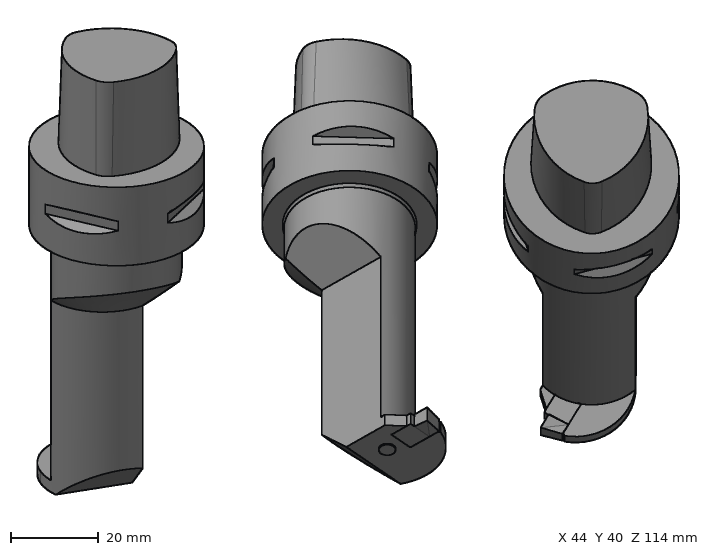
import cadquery as cq
import math


shank_height = 23.9
base_lobe_reach = 14.9
base_side_reach = 13.0
shank_taper = 0.8
lobe_radius = 5.1

flange_radius = 40.0 / 2
flange_height = 20.3
slot_center_z = -10.0
slot_floor_height = 2.4
slot_mouth_height = 5.2
slot_depth = 2.3
slot_count = 4

neck_radius = 30.0 / 2
collar_height = 0.9
collar_overhang = 0.3
neck_end_z = -30.0
bar_shift = 10.0
bar_start_z = neck_end_z - bar_shift
bar_flat_y = neck_radius - bar_shift

shank_to_tip = 114.0
lip_height = 0.4
plate_thickness = 3.1
plate_bottom_z = shank_height - shank_to_tip + lip_height
plate_top_z = plate_bottom_z + plate_thickness
plate_arc_radius = 13.7
plate_nose_x = -18.9
end_chamfer = 8.4

tip_x = -(44.0 - flange_radius)
tip_y = 0.1
head_back_x = -20.1
head_heel_x = -23.0
blade_end_x = -14.1
insert_front_y = -5.0
insert_back_y = 1.4

screw_radius = 1.9
screw_x = -9.9
screw_y = -1.8
screw_proud = 0.3
screw_length = 4.6


def box_between(low, high):
    """Box given by two opposite corners."""
    size = [b - a for a, b in zip(low, high)]
    return cq.Workplane("XY").box(*size, centered=False).translate(low)


def cylinder(radius, top_z, bottom_z):
    return cq.Workplane("XY").workplane(offset=bottom_z).circle(radius).extrude(top_z - bottom_z)


def polar(distance, degrees):
    angle = math.radians(degrees)
    return (distance * math.cos(angle), distance * math.sin(angle))


def lobe_outline(workplane, lobe_reach, side_reach):
    """Rounded triangle of tangent arcs with one lobe pointing along +Y."""
    lobe_center = lobe_reach - lobe_radius
    inset = side_reach - lobe_radius
    side_center = (lobe_center**2 - inset**2) / (2 * inset - lobe_center)
    scale = lobe_radius / (inset + side_center)
    along = lobe_center + (lobe_center + side_center / 2) * scale
    across = side_center * math.sin(math.radians(60)) * scale
    tangent_reach = math.hypot(along, across)
    half_angle = math.degrees(math.atan2(across, along))
    outline = workplane.moveTo(*polar(tangent_reach, 90 - half_angle))
    for lobe in (90, 210, 330):
        outline = outline.threePointArc(polar(lobe_reach, lobe), polar(tangent_reach, lobe + half_angle))
        next_lobe_start = polar(tangent_reach, lobe + 120 - half_angle)
        outline = outline.threePointArc(polar(side_reach, lobe + 60), next_lobe_start)
    return outline.close()


def taper_shank():
    base = lobe_outline(cq.Workplane("XY"), base_lobe_reach, base_side_reach)
    raised = base.workplane(offset=shank_height)
    top = lobe_outline(raised, base_lobe_reach - shank_taper, base_side_reach - shank_taper)
    return top.loft(combine=True)


def gripper_slot():
    """Trapezoidal groove across the +X side of the flange."""
    floor_x = flange_radius - slot_depth
    half_floor = slot_floor_height / 2
    half_mouth = slot_mouth_height / 2
    return (
        cq.Workplane("XZ")
        .polyline([
            (floor_x, slot_center_z - half_floor),
            (flange_radius, slot_center_z - half_mouth),
            (flange_radius, slot_center_z + half_mouth),
            (floor_x, slot_center_z + half_floor),
        ]).close()
        .extrude(flange_radius, both=True)
    )


def flange():
    body = cylinder(flange_radius, 0, -flange_height)
    spacing = 360 / slot_count
    for i in range(slot_count):
        body = body.cut(gripper_slot().rotate((0, 0, 0), (0, 0, 1), spacing * (i + 0.5)))
    return body


def collar():
    """Short cone that blends the neck into the flange."""
    return (
        cq.Workplane("XY").workplane(offset=-flange_height)
        .circle(neck_radius + collar_overhang)
        .workplane(offset=-collar_height).circle(neck_radius)
        .loft(combine=True)
    )


def slanted_relief():
    """Cone at 45 degrees on the bar axis that narrows the neck to the bar."""
    return (
        cq.Workplane("XY").workplane(offset=bar_start_z)
        .center(-bar_shift, 0).circle(neck_radius)
        .workplane(offset=bar_shift).circle(neck_radius + bar_shift)
        .loft(combine=True)
    )


def flat_cutter():
    """Removes the +Y side of the bar down to a flat, with a 45 degree run-out."""
    return (
        cq.Workplane("YZ")
        .polyline([
            (neck_radius, neck_end_z),
            (bar_flat_y, bar_start_z),
            (bar_flat_y, plate_bottom_z),
            (neck_radius, plate_bottom_z),
        ]).close()
        .extrude(neck_radius, both=True)
    )


def neck_and_bar():
    neck = cylinder(neck_radius, -flange_height, neck_end_z)
    relief = cylinder(neck_radius, neck_end_z, bar_start_z).intersect(slanted_relief())
    shifted = cylinder(neck_radius, bar_start_z, plate_bottom_z).translate((-bar_shift, 0, 0))
    bar = cylinder(neck_radius, bar_start_z, plate_bottom_z).intersect(shifted)
    return neck.union(relief).union(bar).cut(flat_cutter())


def plate():
    """Crescent foot: outer arc on -X, bar outline on +X, oblique relief at the nose."""
    arc_center_y = plate_arc_radius - neck_radius
    diagonal = math.sqrt(0.5)
    arc_mid = (-bar_shift - plate_arc_radius * diagonal, arc_center_y - plate_arc_radius * diagonal)
    heel_y = arc_center_y - math.sqrt(plate_arc_radius**2 - (head_heel_x + bar_shift) ** 2)
    flat_end_x = math.sqrt(neck_radius**2 - bar_flat_y**2) - bar_shift
    return (
        cq.Workplane("XY").workplane(offset=plate_bottom_z)
        .moveTo(-bar_shift, -neck_radius)
        .threePointArc(arc_mid, (head_heel_x, heel_y))
        .lineTo(plate_nose_x, insert_back_y)
        .lineTo(plate_nose_x + bar_flat_y - insert_back_y, bar_flat_y)
        .lineTo(flat_end_x, bar_flat_y)
        .threePointArc(
            (-bar_shift + neck_radius * diagonal, -neck_radius * diagonal),
            (-bar_shift, -neck_radius),
        )
        .close().extrude(plate_thickness)
    )


def end_chamfer_cutter():
    """Removes the +X lower corner of the bar at 45 degrees."""
    bar_right_x = neck_radius - bar_shift
    return (
        cq.Workplane("XZ")
        .polyline([
            (bar_right_x, plate_bottom_z + end_chamfer),
            (bar_right_x, plate_bottom_z),
            (bar_right_x - end_chamfer, plate_bottom_z),
        ]).close()
        .extrude(neck_radius, both=True)
    )


def triangle_prism(corners, bottom, top):
    """Vertical three-sided solid with its own end height at each corner."""
    low = [cq.Vector(x, y, z) for (x, y), z in zip(corners, bottom)]
    high = [cq.Vector(x, y, z) for (x, y), z in zip(corners, top)]
    loops = [low, high]
    for i in range(3):
        j = (i + 1) % 3
        side = [low[i], low[j], high[j], high[i]]
        loops.append(side)
    faces = [cq.Face.makeFromWires(cq.Wire.makePolygon(loop, close=True)) for loop in loops]
    return cq.Workplane(cq.Solid.makeSolid(cq.Shell.makeShell(faces)))


def insert_head():
    """Cutting head whose two rake facets fall to the inner front corner."""
    tip = (tip_x, tip_y)
    heel = (head_heel_x, insert_front_y)
    inner = (head_back_x, insert_front_y)
    back = (head_back_x, tip_y)
    proud_top = plate_top_z + lip_height
    proud_bottom = plate_bottom_z - lip_height
    bottom = [proud_bottom, plate_bottom_z, plate_bottom_z]
    top = [proud_top, proud_top, plate_top_z]
    outer_half = triangle_prism([tip, heel, inner], bottom, top)
    inner_half = triangle_prism([tip, back, inner], bottom, top)
    return outer_half.union(inner_half)


def make_insert():
    blade = box_between(
        (head_back_x, insert_front_y, plate_bottom_z),
        (blade_end_x, insert_back_y, plate_top_z),
    )
    return insert_head().union(blade)


def insert_pocket():
    """Open-ended recess that holds the insert."""
    return box_between(
        (tip_x, insert_front_y, plate_bottom_z),
        (blade_end_x, insert_back_y, plate_top_z),
    )


def make_screw():
    bottom_z = plate_bottom_z - screw_proud
    return cylinder(screw_radius, bottom_z + screw_length, bottom_z).translate((screw_x, screw_y, 0))


def make_holder():
    body = taper_shank().union(flange()).union(neck_and_bar()).union(collar()).union(plate())
    return body.cut(end_chamfer_cutter()).cut(insert_pocket()).cut(make_screw())


holder = make_holder()
insert = make_insert()
screw = make_screw()

bodies = [holder, insert, screw]
result = cq.Compound.makeCompound([body.solids().val() for body in bodies])